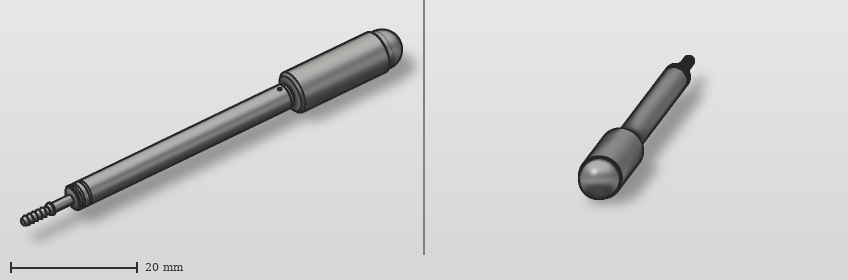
import cadquery as cq
import math

TOTAL_LENGTH = 72.9

HEAD_RADIUS = 3.5
HEAD_TAIL_Y = 51.85
HEAD_FRONT_Y = 68.85
HEAD_TAIL_CHAMFER = 0.5
HEAD_FRONT_CHAMFER = 0.2
NOSE_RADIUS = 3.2

SHAFT_RADIUS = 2.1
SHAFT_TAIL_Y = 9.55
SHAFT_TAIL_CHAMFER = 0.22
TAIL_DOME_HEIGHT = 0.3
SHAFT_SHOULDER_Y = 50.8
SHAFT_SHOULDER_CHAMFER = 0.15
FRONT_LAND_RADIUS = SHAFT_RADIUS - SHAFT_SHOULDER_CHAMFER
FRONT_LAND_END_Y = 51.25
FRONT_DOME_HEIGHT = 0.85

GROOVE_WIDTH = 0.44
GROOVE_FIRST_Y = 10.42
GROOVE_PITCH = 1.33
GROOVE_COUNT = 2

DIMPLE_RADIUS = 0.3
DIMPLE_DEPTH = 0.1
DIMPLE_Y = 49.85

PIN_RADIUS = 0.8
RING_RADIUS = 1.05
RING_FRONT_Y = 5.58
RING_TAIL_Y = 5.32
RING_CONE_TAIL_RADIUS = PIN_RADIUS
RING_CONE_TAIL_Y = 4.8
CORE_RADIUS = 0.6
BARB_RADIUS = 0.86
BARB_PITCH = 0.83
BARB_LENGTH = 0.73
BARB_COUNT = 5

OVERLAP = 1.0


def cylinder(radius, start_y, end_y):
    """Cylinder on the Y axis between two stations."""
    return cq.Workplane("XZ", origin=(0, end_y, 0)).circle(radius).extrude(end_y - start_y)


def cone(tail_radius, front_radius, tail_y, front_y):
    """Truncated cone on the Y axis, solid to the axis."""
    return (
        cq.Workplane("XY")
        .moveTo(0, tail_y)
        .lineTo(tail_radius, tail_y)
        .lineTo(front_radius, front_y)
        .lineTo(0, front_y)
        .close()
        .revolve(360, (0, 0, 0), (0, 1, 0))
    )


def head():
    """Chamfered sleeve carrying a collar that ends in a hemispherical nose."""
    sleeve = cylinder(HEAD_RADIUS, HEAD_TAIL_Y, HEAD_FRONT_Y)
    sleeve = sleeve.faces("<Y").chamfer(HEAD_TAIL_CHAMFER)
    sleeve = sleeve.faces(">Y").chamfer(HEAD_FRONT_CHAMFER)
    dome_base_y = TOTAL_LENGTH - NOSE_RADIUS
    arc_offset = NOSE_RADIUS * math.sqrt(0.5)
    nose = (
        cq.Workplane("XY")
        .moveTo(0, HEAD_FRONT_Y - OVERLAP)
        .lineTo(NOSE_RADIUS, HEAD_FRONT_Y - OVERLAP)
        .lineTo(NOSE_RADIUS, dome_base_y)
        .threePointArc((arc_offset, dome_base_y + arc_offset), (0, TOTAL_LENGTH))
        .close()
        .revolve(360, (0, 0, 0), (0, 1, 0))
    )
    return sleeve.union(nose)


def dome(base_radius, base_y, apex_y):
    """Shallow spherical cap on the Y axis, flat at the base station."""
    height = apex_y - base_y
    sphere_radius = (base_radius**2 + height**2) / (2 * abs(height))
    direction = math.copysign(1, height)
    half_angle = math.asin(base_radius / sphere_radius) / 2
    mid_radius = sphere_radius * math.sin(half_angle)
    mid_y = apex_y - direction * sphere_radius * (1 - math.cos(half_angle))
    return (
        cq.Workplane("XY")
        .moveTo(0, base_y)
        .lineTo(base_radius, base_y)
        .threePointArc((mid_radius, mid_y), (0, apex_y))
        .close()
        .revolve(360, (0, 0, 0), (0, 1, 0))
    )


def shaft():
    """Shaft with domed ends and a small chamfered shoulder before the front land."""
    main = cylinder(SHAFT_RADIUS, SHAFT_TAIL_Y, SHAFT_SHOULDER_Y)
    main = main.faces("<Y").chamfer(SHAFT_TAIL_CHAMFER)
    main = main.faces(">Y").chamfer(SHAFT_SHOULDER_CHAMFER)
    tail_face_radius = SHAFT_RADIUS - SHAFT_TAIL_CHAMFER
    tail_dome = dome(tail_face_radius, SHAFT_TAIL_Y, SHAFT_TAIL_Y - TAIL_DOME_HEIGHT)
    front_land = cylinder(FRONT_LAND_RADIUS, SHAFT_SHOULDER_Y, FRONT_LAND_END_Y)
    front_dome = dome(FRONT_LAND_RADIUS, FRONT_LAND_END_Y, FRONT_LAND_END_Y + FRONT_DOME_HEIGHT)
    return main.union(tail_dome).union(front_land).union(front_dome)


def groove(center_y):
    """Ring-shaped cutter for one round-bottomed groove."""
    return (
        cq.Workplane("XY")
        .center(SHAFT_RADIUS, center_y)
        .circle(GROOVE_WIDTH / 2)
        .revolve(360, (-SHAFT_RADIUS, 0, 0), (-SHAFT_RADIUS, 1, 0))
    )


def dimple():
    """Cutter for the shallow round dimple on the top of the shaft."""
    floor_z = SHAFT_RADIUS - DIMPLE_DEPTH
    return (
        cq.Workplane("XY", origin=(0, DIMPLE_Y, floor_z))
        .circle(DIMPLE_RADIUS)
        .extrude(OVERLAP)
    )


def tail_pin():
    """Plain pin, stop ring with a conical back, and a barbed core."""
    pin = cylinder(PIN_RADIUS, RING_TAIL_Y, SHAFT_TAIL_Y + OVERLAP)
    ring = cylinder(RING_RADIUS, RING_TAIL_Y, RING_FRONT_Y)
    ring_cone = cone(RING_CONE_TAIL_RADIUS, RING_RADIUS, RING_CONE_TAIL_Y, RING_TAIL_Y)
    core = cylinder(CORE_RADIUS, 0, RING_TAIL_Y)
    pin = pin.union(core).union(ring).union(ring_cone)
    for index in range(BARB_COUNT):
        tail_y = index * BARB_PITCH
        pin = pin.union(cone(CORE_RADIUS, BARB_RADIUS, tail_y, tail_y + BARB_LENGTH))
    return pin


result = head().union(shaft()).union(tail_pin())
for index in range(GROOVE_COUNT):
    result = result.cut(groove(GROOVE_FIRST_Y + index * GROOVE_PITCH))
result = result.cut(dimple())